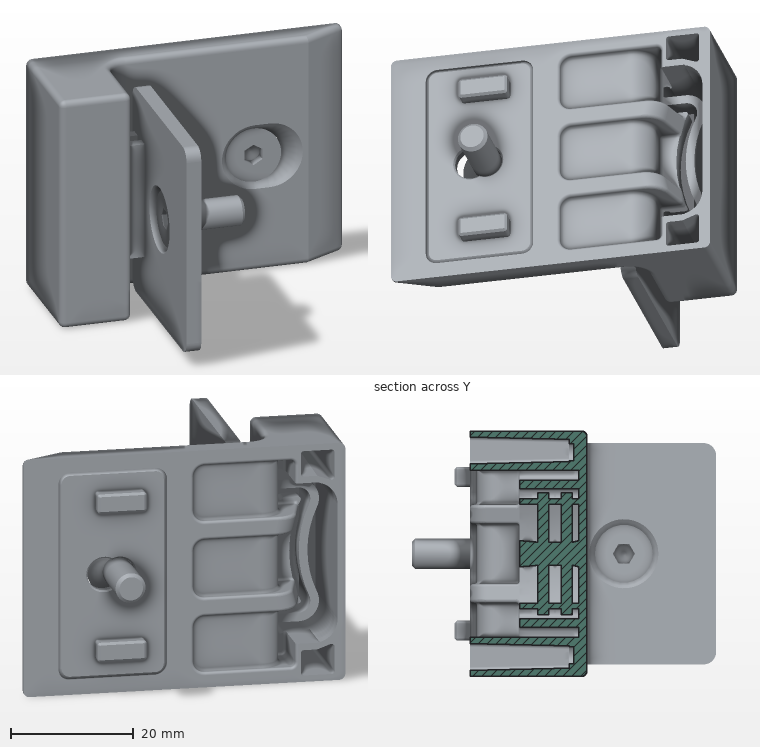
import cadquery as cq
import math


TOLERANCE = 0.025

HOUSING_LENGTH = 53.5
HOUSING_HEIGHT = 40.0
BLOCK_DEPTH = 19.05
BLOCK_WIDTH = 12.1
FLANGE_THICKNESS = 4.5
INNER_CORNER_RADIUS = 3.4
BEVEL_START = 46.65
TIP_THICKNESS = 0.85
EDGE_RADIUS = 1.0
TIP_CORNER_RADIUS = 0.55

FLOOR_DEPTH = 8.0
CELL_DEPTH = 1.1
CELL_END = 25.25
CELL_NEAR_END = 8.25
CELL_CHAMBER_END = 4.3
CELL_WALL = 10.25
CELL_BEND_RADIUS = 3.7
CELL_CORNER_RADIUS = 1.9
CELL_NEAR_RADIUS = 0.85
OUTER_CELL_TOP = 17.5
RIB_INNER_Z = 4.9
RIB_OUTER_Z = 7.95
LIP_RADIUS = 0.5
FLOOR_RADIUS = 0.5
RIB_BEND_START = 11.35
RIB_BEND_RADIUS = 3.6
RIB_SLOPE = 15.0
RIB_SKEW = 14.0

CHAMBER_HALF_HEIGHT = 13.55
CHAMBER_NEAR = 1.3
CHAMBER_RADIUS = 3.85
SLOT_BOTTOM = 17.65
SLOT_END = 9.3
RELIEF_RADIUS = 0.95
LEAF_ARM_Z = 11.3
LEAF_THICKNESS = 1.45
LEAF_BEND_RADIUS = 2.7
LEAF_BEND_TIP = 3.4
LEAF_MIDDLE = 5.35
INNER_SLOT_OFFSET = 2.3

POCKET_FAR = 7.4
POCKET_NEAR = 1.8
POCKET_TOP = 18.95
POCKET_BOTTOM = 14.65
POCKET_KINK = 4.65
POCKET_TOE = 13.65
POCKET_DEPTH = 16.05
POCKET_TAPER = 1.3
POCKET_RADIUS = 0.5
POCKET_HOLE_DIAMETER = 3.3
POCKET_HOLE_Y = 5.0
POCKET_HOLE_Z = 16.55
POCKET_HOLE_DEPTH = 0.8

KEY_FRAME_NEAR = 29.65
KEY_FRAME_FAR = 47.65
KEY_FRAME_HEIGHT = 35.0
KEY_FRAME_RADIUS = 1.9
KEY_GROOVE = 0.55
KEY_LENGTH = 8.15
KEY_WIDTH = 3.25
KEY_HEIGHT = 2.5
KEY_Z = 12.5
KEY_CHAMFER = 0.4
KEY_CORNER_RADIUS = 0.5

SCREW_DIAMETER = 5.0
SCREW_HEAD_DIAMETER = 9.4
SCREW_LENGTH = 13.05
SCREW_TIP_CHAMFER = 0.55
SCREW_SINK = 0.9
SOCKET_FLATS = 3.1
SOCKET_DEPTH = 1.6
COUNTERSINK_DIAMETER = SCREW_HEAD_DIAMETER + 2 * SCREW_SINK
HEAD_CONE_HEIGHT = (SCREW_HEAD_DIAMETER - SCREW_DIAMETER) / 2
HOUSING_SCREW_Y = 37.55
SCREW_HOLE_DIAMETER = 5.25
WIDE_HOLE_DIAMETER = 5.45
WIDE_HOLE_SHIFT = 2.5
HOLE_CHAMFER = 0.25

PLATE_LENGTH = 30.0
PLATE_HEIGHT = 36.0
PLATE_THICKNESS = 2.5
PLATE_CORNER_RADIUS = 2.05
PLATE_END = 40.0
PLATE_CENTER_X = PLATE_END - PLATE_LENGTH / 2
PLATE_FRONT = 15.05
POLE_THICKNESS = 1.85
POLE_HEIGHT = 19.9
POLE_STARTS = (10.95, 14.8)
POLE_INNER_END = 5.4


def side_plane(x):
    """Plane across X with local axes Y and Z."""
    return cq.Workplane("YZ", origin=(x, 0, 0))


def extrude_xy(outline, z_low, z_high):
    return outline.extrude(z_high - z_low).translate((0, 0, z_low))


def cone(start_diameter, end_diameter, height):
    return cq.Workplane(cq.Solid.makeCone(start_diameter / 2, end_diameter / 2, height))


def housing_shell():
    outline = (
        cq.Workplane("XY")
        .lineTo(BLOCK_DEPTH, 0)
        .lineTo(BLOCK_DEPTH, BLOCK_WIDTH)
        .lineTo(FLANGE_THICKNESS + INNER_CORNER_RADIUS, BLOCK_WIDTH)
        .radiusArc((FLANGE_THICKNESS, BLOCK_WIDTH + INNER_CORNER_RADIUS), INNER_CORNER_RADIUS)
        .lineTo(FLANGE_THICKNESS, BEVEL_START)
        .lineTo(TIP_THICKNESS, HOUSING_LENGTH)
        .lineTo(0, HOUSING_LENGTH)
        .close()
    )
    shell = extrude_xy(outline, -HOUSING_HEIGHT / 2, HOUSING_HEIGHT / 2)
    shell = shell.edges("|Z").edges(">Y").edges(">X").fillet(TIP_CORNER_RADIUS)
    shell = shell.edges("|Z").edges(">X").fillet(EDGE_RADIUS)
    rims = [
        edge
        for edge in shell.faces("|Z").edges().vals()
        if edge.Center().x > TOLERANCE and edge.Center().y < HOUSING_LENGTH - TOLERANCE
    ]
    return shell.newObject(rims).fillet(EDGE_RADIUS)


def cell_space(z_low, z_high, near_end):
    """One cell: shallow behind the flange, bending down to the deep floor."""
    outline = (
        cq.Workplane("XY")
        .moveTo(0, near_end)
        .lineTo(0, CELL_END)
        .lineTo(CELL_DEPTH, CELL_END)
        .lineTo(CELL_DEPTH, CELL_WALL + CELL_BEND_RADIUS)
        .radiusArc((CELL_DEPTH + CELL_BEND_RADIUS, CELL_WALL), -CELL_BEND_RADIUS)
        .lineTo(FLOOR_DEPTH, CELL_WALL)
        .lineTo(FLOOR_DEPTH, near_end)
        .close()
    )
    cell = extrude_xy(outline, z_low, z_high)
    return cell.edges("|X").edges(">Y").fillet(CELL_CORNER_RADIUS)


def is_floor_edge(edge):
    """True for the rim of the cell floor.

    Left out are the lines where the floor bends, the upright corners and the side open to the chamber.
    """
    center = edge.Center()
    direction = edge.tangentAt(0)
    almost_one = 0.55 - TOLERANCE
    in_floor = center.x > CELL_DEPTH - TOLERANCE and center.y > CELL_CHAMBER_END + TOLERANCE
    before_deep_floor = center.x < FLOOR_DEPTH - TOLERANCE
    between_walls = CELL_WALL - TOLERANCE < center.y < CELL_END - TOLERANCE
    bend_line = abs(direction.z) > almost_one and before_deep_floor and between_walls
    upright_corner = abs(direction.x) > almost_one and center.y < CELL_WALL - TOLERANCE
    open_side = abs(abs(center.z) - CHAMBER_HALF_HEIGHT) < TOLERANCE
    return in_floor and not (bend_line or upright_corner or open_side)


def round_floor(cell):
    """Round the rim of the cell floor, leaving the open sides sharp."""
    rim = [edge for edge in cell.edges().vals() if is_floor_edge(edge)]
    return cell.newObject(rim).fillet(FLOOR_RADIUS)


def chamber_outline(x, far_end):
    """Outline of the deep chamber in the plane at x, round at the closed side."""
    height = 2 * CHAMBER_HALF_HEIGHT
    straight = CHAMBER_HALF_HEIGHT - CHAMBER_RADIUS
    bend = CHAMBER_NEAR + CHAMBER_RADIUS
    return (
        side_plane(x)
        .moveTo(far_end, -height / 2)
        .lineTo(bend, -height / 2)
        .radiusArc((CHAMBER_NEAR, -straight), CHAMBER_RADIUS)
        .lineTo(CHAMBER_NEAR, straight)
        .radiusArc((bend, height / 2), CHAMBER_RADIUS)
        .lineTo(far_end, height / 2)
        .close()
    )


def rib_crown_space():
    """Space below the crown of the upper rib, skewed so that the crown follows the leaf."""
    slope = math.radians(RIB_SLOPE)
    bend_end_x = RIB_BEND_RADIUS * (1 - math.sin(slope))
    bend_end_y = RIB_BEND_START - RIB_BEND_RADIUS * math.cos(slope)
    foot_y = bend_end_y - (FLOOR_DEPTH - bend_end_x) * math.tan(slope)
    crown_outline = (
        cq.Workplane("XY")
        .moveTo(0, -BLOCK_WIDTH)
        .lineTo(0, RIB_BEND_START)
        .radiusArc((bend_end_x, bend_end_y), -RIB_BEND_RADIUS)
        .lineTo(FLOOR_DEPTH, foot_y)
        .lineTo(FLOOR_DEPTH, -BLOCK_WIDTH)
        .close()
    )
    skew = math.tan(math.radians(RIB_SKEW))
    direction = cq.Vector(0, -skew * CHAMBER_HALF_HEIGHT, CHAMBER_HALF_HEIGHT)
    rib_middle = (RIB_INNER_Z + RIB_OUTER_Z) / 2
    crown = cq.Solid.extrudeLinear(crown_outline.val(), [], direction)
    return cq.Workplane(crown).translate((0, skew * rib_middle, 0))


def chamber_space():
    """Deep chamber, bounded towards +Y by the rounded crowns of the ribs."""
    crown = rib_crown_space()
    crowns = crown.union(crown.mirror("XY"))
    return crowns.intersect(chamber_outline(0, CELL_WALL + CELL_BEND_RADIUS).extrude(FLOOR_DEPTH))


def upper_cell_space():
    """Outer cell, which opens sideways into the chamber next to its rib."""
    cell = cell_space(RIB_OUTER_Z, OUTER_CELL_TOP, CELL_NEAR_END)
    cell = cell.edges("|X").edges("<Y").edges(">Z").fillet(CELL_NEAR_RADIUS)
    opening = cq.Workplane("XY").box(
        FLOOR_DEPTH,
        CELL_WALL - CELL_CHAMBER_END,
        CHAMBER_HALF_HEIGHT - RIB_OUTER_Z,
        centered=False,
    )
    return round_floor(cell.union(opening.translate((0, CELL_CHAMBER_END, RIB_OUTER_Z))))


def is_cell_lip(center):
    beside_rib_crown = abs(center.y - RIB_BEND_START) > TOLERANCE
    inside_length = CELL_NEAR_END - TOLERANCE < center.y < CELL_END + TOLERANCE
    return beside_rib_crown and inside_length and abs(center.z) < OUTER_CELL_TOP + TOLERANCE


def mounting_side_space():
    """Chamber and cells in one, with the rims of the cells rounded.

    The ribs and walls are carved from a plain block, and the space is what this leaves empty.
    """
    block = cq.Workplane("XY").box(
        FLOOR_DEPTH, HOUSING_LENGTH, HOUSING_HEIGHT, centered=(False, False, True)
    )
    middle_cell = round_floor(cell_space(-RIB_INNER_Z, RIB_INNER_Z, CELL_CHAMBER_END))
    upper_cell = upper_cell_space()
    walls = block.cut(chamber_space()).cut(middle_cell)
    walls = walls.cut(upper_cell).cut(upper_cell.mirror("XY"))
    lips = [edge for edge in walls.faces("<X").edges().vals() if is_cell_lip(edge.Center())]
    return block.cut(walls.newObject(lips).fillet(LIP_RADIUS))


def leaf_loop(offset):
    """Region inside the line that runs beside the leaf centre line at the given offset.

    Two straight arms turn through round bends into one long middle arc that bows inwards.
    """
    bend_y = LEAF_BEND_TIP + LEAF_BEND_RADIUS
    bend_z = LEAF_ARM_Z - LEAF_BEND_RADIUS
    middle_shift = bend_y - LEAF_MIDDLE
    middle_radius = (
        (middle_shift**2 + bend_z**2 - LEAF_BEND_RADIUS**2) / (2 * (LEAF_BEND_RADIUS - middle_shift))
    )
    bend_end_angle = math.atan2(-bend_z, LEAF_MIDDLE - middle_radius - bend_y) % math.tau
    bend_middle_angle = (math.pi / 2 + bend_end_angle) / 2
    radius = LEAF_BEND_RADIUS + offset

    def bend_point(angle, side):
        return bend_y + radius * math.cos(angle), side * (bend_z + radius * math.sin(angle))

    arm_z = LEAF_ARM_Z + offset
    return (
        side_plane(FLOOR_DEPTH)
        .moveTo(SLOT_END, arm_z)
        .lineTo(bend_y, arm_z)
        .threePointArc(bend_point(bend_middle_angle, 1), bend_point(bend_end_angle, 1))
        .threePointArc((LEAF_MIDDLE - offset, 0), bend_point(bend_end_angle, -1))
        .threePointArc(bend_point(bend_middle_angle, -1), (bend_y, -arm_z))
        .lineTo(SLOT_END, -arm_z)
        .close()
        .extrude(SLOT_BOTTOM - FLOOR_DEPTH)
    )


def leaf_slots():
    """Slots on both sides of the leaf, ending in round reliefs at the chamber wall."""
    half = LEAF_THICKNESS / 2
    outer_slot = chamber_outline(FLOOR_DEPTH, SLOT_END).extrude(SLOT_BOTTOM - FLOOR_DEPTH)
    outer_slot = outer_slot.cut(leaf_loop(half))
    inner_slot = leaf_loop(-half).cut(leaf_loop(-INNER_SLOT_OFFSET))
    relief_shift = half + RELIEF_RADIUS
    relief_points = [
        (SLOT_END, side * (LEAF_ARM_Z + shift))
        for side in (-1, 1)
        for shift in (-relief_shift, relief_shift)
    ]
    reliefs = (
        side_plane(FLOOR_DEPTH)
        .pushPoints(relief_points)
        .circle(RELIEF_RADIUS)
        .extrude(SLOT_BOTTOM - FLOOR_DEPTH)
    )
    return outer_slot.union(inner_slot).union(reliefs)


def corner_pocket():
    pocket = (
        side_plane(0)
        .moveTo(POCKET_FAR, POCKET_TOP)
        .lineTo(POCKET_FAR, POCKET_BOTTOM)
        .lineTo(POCKET_KINK, POCKET_BOTTOM)
        .lineTo(POCKET_NEAR, POCKET_TOE)
        .lineTo(POCKET_NEAR, POCKET_TOP)
        .close()
        .extrude(POCKET_DEPTH, taper=POCKET_TAPER)
        .edges("not(<X or >X)")
        .fillet(POCKET_RADIUS)
    )
    hole = (
        side_plane(POCKET_DEPTH)
        .center(POCKET_HOLE_Y, POCKET_HOLE_Z)
        .circle(POCKET_HOLE_DIAMETER / 2)
        .extrude(POCKET_HOLE_DEPTH)
    )
    return pocket.union(hole)


def key_frame_groove():
    """Groove around the key area: upright outer wall, sloping inner wall."""
    length = KEY_FRAME_FAR - KEY_FRAME_NEAR
    center_y = (KEY_FRAME_NEAR + KEY_FRAME_FAR) / 2
    frame = (
        side_plane(0)
        .center(center_y, 0)
        .rect(length, KEY_FRAME_HEIGHT)
        .extrude(KEY_GROOVE)
        .edges("|X")
        .fillet(KEY_FRAME_RADIUS)
    )
    raised_middle = (
        side_plane(0)
        .center(center_y, 0)
        .sketch()
        .rect(length - 2 * KEY_GROOVE, KEY_FRAME_HEIGHT - 2 * KEY_GROOVE)
        .vertices()
        .fillet(KEY_FRAME_RADIUS - KEY_GROOVE)
        .finalize()
        .extrude(KEY_GROOVE, taper=-45)
    )
    return frame.cut(raised_middle)


def slot_key(z):
    """Block with rounded corners that drops into the slot of a frame profile."""
    return (
        side_plane(0)
        .center(HOUSING_SCREW_Y, z)
        .rect(KEY_LENGTH, KEY_WIDTH)
        .extrude(-KEY_HEIGHT)
        .edges("|X")
        .fillet(KEY_CORNER_RADIUS)
        .faces("<X")
        .chamfer(KEY_CHAMFER)
    )


def hole_through_flange(y, diameter):
    hole = side_plane(0).center(y, 0).circle(diameter / 2).extrude(FLANGE_THICKNESS)
    mouth = cone(diameter + 2 * HOLE_CHAMFER, diameter, HOLE_CHAMFER)
    return hole.union(mouth.rotate((0, 0, 0), (0, 1, 0), 90).translate((0, y, 0)))


def housing_screw_hole():
    """Two overlapping holes and a long countersink, so that the screw can sit off centre."""
    narrow = hole_through_flange(HOUSING_SCREW_Y, SCREW_HOLE_DIAMETER)
    wide = hole_through_flange(HOUSING_SCREW_Y + WIDE_HOLE_SHIFT, WIDE_HOLE_DIAMETER)
    countersink = (
        side_plane(FLANGE_THICKNESS)
        .center(HOUSING_SCREW_Y + WIDE_HOLE_SHIFT / 2, 0)
        .slot2D(COUNTERSINK_DIAMETER + WIDE_HOLE_SHIFT, COUNTERSINK_DIAMETER)
        .extrude(-(HEAD_CONE_HEIGHT + SCREW_SINK), taper=45)
    )
    return narrow.union(wide).union(countersink)


def pole_plate(x):
    """Strip that runs from the leaf chamber through the block to the armature plate."""
    return cq.Workplane("XY").box(
        POLE_THICKNESS, PLATE_FRONT - POLE_INNER_END, POLE_HEIGHT, centered=(False, False, True)
    ).translate((x, POLE_INNER_END, 0))


def make_housing():
    housing = housing_shell().cut(mounting_side_space())
    housing = housing.cut(leaf_slots())
    pocket = corner_pocket()
    housing = housing.cut(pocket).cut(pocket.mirror("XY"))
    housing = housing.cut(key_frame_groove()).cut(housing_screw_hole())
    for z in (-KEY_Z, KEY_Z):
        housing = housing.union(slot_key(z))
    for x in POLE_STARTS:
        housing = housing.union(pole_plate(x))
    return housing


def make_armature_plate():
    plate = (
        cq.Workplane("XY")
        .box(PLATE_LENGTH, PLATE_THICKNESS, PLATE_HEIGHT)
        .edges("|Y")
        .fillet(PLATE_CORNER_RADIUS)
        .translate((PLATE_CENTER_X, PLATE_FRONT + PLATE_THICKNESS / 2, 0))
    )
    back_diameter = COUNTERSINK_DIAMETER - 2 * PLATE_THICKNESS
    countersink = cone(COUNTERSINK_DIAMETER, back_diameter, PLATE_THICKNESS)
    countersink = countersink.rotate((0, 0, 0), (1, 0, 0), -90)
    return plate.cut(countersink.translate((PLATE_CENTER_X, PLATE_FRONT, 0)))


def make_screw():
    """Countersunk screw along +Z with the flat of its head in Z = 0."""
    shank = (
        cq.Workplane("XY")
        .circle(SCREW_DIAMETER / 2)
        .extrude(SCREW_LENGTH)
        .faces(">Z")
        .chamfer(SCREW_TIP_CHAMFER)
    )
    screw = shank.union(cone(SCREW_HEAD_DIAMETER, SCREW_DIAMETER, HEAD_CONE_HEIGHT))
    socket = (
        cq.Workplane("XY")
        .polygon(6, SOCKET_FLATS / math.cos(math.pi / 6))
        .extrude(SOCKET_DEPTH)
    )
    point_height = SOCKET_FLATS / 2 * math.tan(math.pi / 6)
    drill_point = cone(SOCKET_FLATS, 0, point_height).translate((0, 0, SOCKET_DEPTH))
    return screw.cut(socket).cut(drill_point)


housing = make_housing()
armature_plate = make_armature_plate()

screw_places = (
    ((0, 1, 0), (FLANGE_THICKNESS - SCREW_SINK, HOUSING_SCREW_Y, 0)),
    ((1, 0, 0), (PLATE_CENTER_X, PLATE_FRONT + SCREW_SINK, 0)),
)
screws = [
    make_screw().rotate((0, 0, 0), axis, -90).translate(place)
    for axis, place in screw_places
]

result = cq.Compound.makeCompound([
    housing.val(),
    armature_plate.val(),
    *[screw.val() for screw in screws],
])